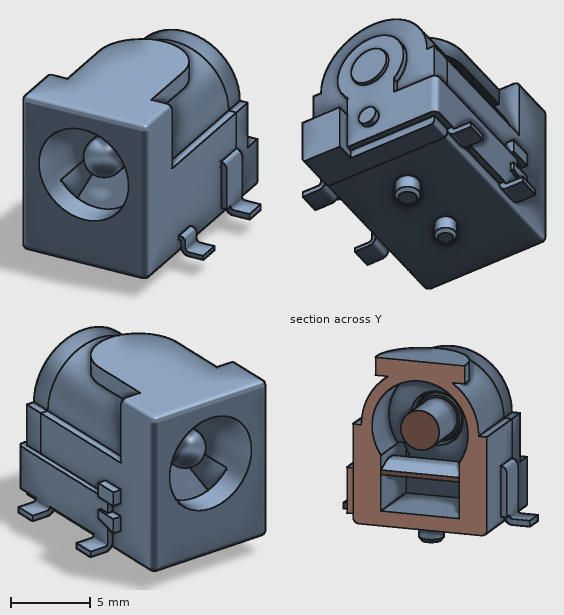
import cadquery as cq
import math

HALF_WIDTH = 4.5
HEIGHT = 11.0
EDGE_RADIUS = 0.4
BLOCK_LENGTH = 3.4
HOUSING_LENGTH = 11.9
AXIS_Z = 6.5
BARREL_RADIUS = 3.95

ARCH_RADIUS = 3.0
ARCH_TIP_Y = 10.65
ARCH_BOTTOM_Z = 9.8

BORE_RADIUS = 3.2
BORE_DEPTH = 10.4
PIN_OPENING_RADIUS = 1.75
CHAMBER_HALF_WIDTH = 2.6
CHAMBER_FRONT_Y = 1.8
CHAMBER_FLOOR_Z = 1.0
CHAMBER_TOP_Z = 4.7
TONGUE_TOP_HALF_WIDTH = 2.2
TONGUE_BOTTOM_HALF_WIDTH = 1.55
TONGUE_BOTTOM_Z = 3.3

PEGS = [(4.95, 0.7), (9.43, 0.8)]
PEG_LENGTH = 1.2
PEG_CHAMFER_HEIGHT = 0.25
PEG_CHAMFER_WIDTH = 0.2

CAP_THICKNESS = 1.5
CAP_BACK_Y = HOUSING_LENGTH + CAP_THICKNESS
CAP_BOTTOM_RADIUS = 0.3
TAB_END_Y = 14.7
TAB_TOP_Z = 3.3
RIVET_RADIUS = 0.63
RIVET_Z = 2.2
RIVET_END_Y = 14.2

FOOT_REACH = 6.25
FOOT_WIDTH = 1.5
FRONT_FOOT_Y = 4.25
REAR_FOOT_Y = 10.4
SHEET = 0.4
SHEET_BEND = 0.2
HOOK_BEND = 0.1

LEG_SPLIT_Z = 0.63
STRIP_TOP_Z = 3.63
STRIP_OUTER_X = HALF_WIDTH + SHEET
PLATE_BACK_Y = CAP_BACK_Y + SHEET
RING_RADIUS = 2.45
NECK_HALF_WIDTH = 1.72
NECK_FILLET = 0.1

NUB_OUTER_X = 5.1
NUB_FRONT_Y = BLOCK_LENGTH
NUB_BACK_Y = 5.0
UPPER_NUB_TOP_Z = 4.6
LOWER_NUB_TOP_Z = 2.71
LOWER_NUB_FRONT_Z = 1.7
LOWER_NUB_BACK_Z = 2.13

SWITCH_TOP_Z = 3.96
SWITCH_FRONT_Y = 9.87
SWITCH_DEPTH = 1.0

SPRING_SHEET = 0.3
SPRING_BEND = 0.25
SPRING_LEG_X = 4.97
SPRING_BASE_FRONT_Y = 2.0
SPRING_RAMP_ANGLE = 22.0
SPRING_TOP_Z = 4.1
SPRING_RAMP_END_Y = 8.4
SPRING_TIP_LENGTH = 1.0
SPRING_TIP_BEND = 1.1

PIN_RADIUS = 1.3
PIN_TIP_Y = 1.4
COLLAR_RADIUS = 1.57
COLLAR_FRONT_Y = 10.6
COLLAR_CHAMFER = 0.12
HEAD_RADIUS = 1.34
HEAD_END_Y = 14.0
HEAD_CHAMFER_LENGTH = 0.1
HEAD_CHAMFER_DEPTH = 0.03


def box(x_range, y_range, z_range):
    """Box given by its (low, high) limits along each axis."""
    sizes = [high - low for low, high in (x_range, y_range, z_range)]
    corner = (x_range[0], y_range[0], z_range[0])
    return cq.Workplane("XY").box(*sizes, centered=False).translate(corner)


def cylinder_y(radius, y_start, y_end, z=AXIS_Z):
    """Cylinder along Y at X = 0."""
    return cq.Workplane("XZ", origin=(0, y_end, z)).circle(radius).extrude(y_end - y_start)


def barrel(y_start, y_end):
    """Half-round barrel standing on a full-width rectangular base."""
    base = box((-HALF_WIDTH, HALF_WIDTH), (y_start, y_end), (0, AXIS_Z))
    return base.union(cylinder_y(BARREL_RADIUS, y_start, y_end))


def foot_leg(outer_x, sheet, bend, top_z, y_front):
    """Vertical leg on the +X side that turns outwards into a solder foot at Z = 0."""
    centre_x = outer_x + bend
    centre_z = sheet + bend
    diagonal = math.sqrt(0.5)
    outer_bend = bend + sheet
    return (
        cq.Workplane("XZ", origin=(0, y_front + FOOT_WIDTH, 0))
        .moveTo(outer_x - sheet, top_z)
        .lineTo(outer_x - sheet, centre_z)
        .threePointArc((centre_x - outer_bend * diagonal, centre_z - outer_bend * diagonal), (centre_x, 0))
        .lineTo(FOOT_REACH, 0)
        .lineTo(FOOT_REACH, sheet)
        .lineTo(centre_x, sheet)
        .threePointArc((centre_x - bend * diagonal, centre_z - bend * diagonal), (outer_x, centre_z))
        .lineTo(outer_x, top_z)
        .close()
        .extrude(FOOT_WIDTH)
    )


def hook(inner_x, outer_x, sheet, top_z, bottom_z, y_front, y_back):
    """Sheet that leaves the housing towards +X and bends down."""
    outer_bend = HOOK_BEND + sheet
    centre_x = outer_x - outer_bend
    centre_z = top_z - outer_bend
    diagonal = math.sqrt(0.5)
    return (
        cq.Workplane("XZ", origin=(0, y_back, 0))
        .moveTo(inner_x, top_z)
        .lineTo(centre_x, top_z)
        .threePointArc(
            (centre_x + outer_bend * diagonal, centre_z + outer_bend * diagonal), (outer_x, centre_z)
        )
        .lineTo(outer_x, bottom_z)
        .lineTo(outer_x - sheet, bottom_z)
        .lineTo(outer_x - sheet, centre_z)
        .threePointArc(
            (centre_x + HOOK_BEND * diagonal, centre_z + HOOK_BEND * diagonal), (centre_x, top_z - sheet)
        )
        .lineTo(inner_x, top_z - sheet)
        .close()
        .extrude(y_back - y_front)
    )


def make_nubs():
    """Two nubs on the -X side: one above the strip, one through its front end."""
    upper = box((-NUB_OUTER_X, -HALF_WIDTH), (NUB_FRONT_Y, NUB_BACK_Y), (STRIP_TOP_Z, UPPER_NUB_TOP_Z))
    lower = (
        cq.Workplane("YZ", origin=(-NUB_OUTER_X, 0, 0))
        .polyline([
            (NUB_FRONT_Y, LOWER_NUB_FRONT_Z),
            (NUB_BACK_Y, LOWER_NUB_BACK_Z),
            (NUB_BACK_Y, LOWER_NUB_TOP_Z),
            (NUB_FRONT_Y, LOWER_NUB_TOP_Z),
        ])
        .close()
        .extrude(NUB_OUTER_X - HALF_WIDTH)
    )
    return upper, lower


def make_outer_shape():
    """Rounded front block, barrel and arched plate."""
    rounded = box((-HALF_WIDTH, HALF_WIDTH), (0, HOUSING_LENGTH), (0, HEIGHT))
    rounded = rounded.edges("|Y or <Y").fillet(EDGE_RADIUS)
    block = box((-HALF_WIDTH, HALF_WIDTH), (0, BLOCK_LENGTH), (0, HEIGHT))
    arch_centre_y = ARCH_TIP_Y - ARCH_RADIUS
    arch = (
        cq.Workplane("XY", origin=(0, 0, ARCH_BOTTOM_Z))
        .moveTo(-ARCH_RADIUS, BLOCK_LENGTH)
        .lineTo(ARCH_RADIUS, BLOCK_LENGTH)
        .lineTo(ARCH_RADIUS, arch_centre_y)
        .threePointArc((0, ARCH_TIP_Y), (-ARCH_RADIUS, arch_centre_y))
        .close()
        .extrude(HEIGHT - ARCH_BOTTOM_Z)
    )
    rear = barrel(BLOCK_LENGTH, HOUSING_LENGTH).union(arch)
    return rounded.intersect(block.union(rear))


def make_peg(y, radius):
    """Chamfered locating peg below the housing."""
    peg = cq.Workplane("XY", origin=(0, y, 0)).circle(radius).extrude(-PEG_LENGTH)
    return peg.faces("<Z").chamfer(PEG_CHAMFER_HEIGHT, PEG_CHAMFER_WIDTH)


def make_housing():
    body = make_outer_shape()
    body = body.cut(cylinder_y(BORE_RADIUS, 0, BORE_DEPTH))
    chamber = box(
        (-CHAMBER_HALF_WIDTH, CHAMBER_HALF_WIDTH),
        (CHAMBER_FRONT_Y, HOUSING_LENGTH),
        (CHAMBER_FLOOR_Z, CHAMBER_TOP_Z),
    )
    tongue = (
        cq.Workplane("XZ", origin=(0, HOUSING_LENGTH, 0))
        .polyline([
            (-TONGUE_TOP_HALF_WIDTH, CHAMBER_TOP_Z),
            (-TONGUE_BOTTOM_HALF_WIDTH, TONGUE_BOTTOM_Z),
            (TONGUE_BOTTOM_HALF_WIDTH, TONGUE_BOTTOM_Z),
            (TONGUE_TOP_HALF_WIDTH, CHAMBER_TOP_Z),
        ])
        .close()
        .extrude(HOUSING_LENGTH - BORE_DEPTH)
    )
    body = body.cut(chamber).union(tongue)
    body = body.cut(cylinder_y(PIN_OPENING_RADIUS, BORE_DEPTH, HOUSING_LENGTH))
    for nub in make_nubs():
        body = body.union(nub)
    for y, radius in PEGS:
        body = body.union(make_peg(y, radius))
    return body


def make_cap():
    """Rear cap with its corner tab and the rivet stud for the ground terminal."""
    body = barrel(HOUSING_LENGTH, CAP_BACK_Y)
    body = body.edges("|Y and <Z").fillet(CAP_BOTTOM_RADIUS)
    tab = box((NECK_HALF_WIDTH, HALF_WIDTH), (CAP_BACK_Y, TAB_END_Y), (0, TAB_TOP_Z))
    tab = tab.edges("|Y and <Z and >X").fillet(CAP_BOTTOM_RADIUS)
    rivet = cylinder_y(RIVET_RADIUS, CAP_BACK_Y, RIVET_END_Y, RIVET_Z)
    return body.union(tab).union(rivet)


def make_ground_terminal():
    """Side strip with two feet, bent round the cap into a plate and a ring under the pin head."""
    strip_z = (LEG_SPLIT_Z, STRIP_TOP_Z)
    strip = box((-STRIP_OUTER_X, -HALF_WIDTH), (FRONT_FOOT_Y, PLATE_BACK_Y), strip_z)
    plate = box((-STRIP_OUTER_X, NECK_HALF_WIDTH), (CAP_BACK_Y, PLATE_BACK_Y), strip_z)
    neck = box((-NECK_HALF_WIDTH, NECK_HALF_WIDTH), (CAP_BACK_Y, PLATE_BACK_Y), (LEG_SPLIT_Z, AXIS_Z))
    neck_corner = cq.selectors.NearestToPointSelector(
        (-NECK_HALF_WIDTH, (CAP_BACK_Y + PLATE_BACK_Y) / 2, STRIP_TOP_Z)
    )
    bend_corner = cq.selectors.NearestToPointSelector(
        (-STRIP_OUTER_X, PLATE_BACK_Y, (LEG_SPLIT_Z + STRIP_TOP_Z) / 2)
    )
    terminal = strip.union(plate).edges(bend_corner).fillet(SHEET)
    terminal = terminal.union(neck).edges(neck_corner).fillet(NECK_FILLET)
    terminal = terminal.union(cylinder_y(RING_RADIUS, CAP_BACK_Y, PLATE_BACK_Y))
    for y_front in (FRONT_FOOT_Y, REAR_FOOT_Y):
        leg = foot_leg(STRIP_OUTER_X, SHEET, SHEET_BEND, LEG_SPLIT_Z, y_front)
        terminal = terminal.union(leg.mirror("YZ"))
    for nub in make_nubs():
        terminal = terminal.cut(nub)
    return terminal.cut(cylinder_y(RIVET_RADIUS, CAP_BACK_Y, RIVET_END_Y, RIVET_Z))


def make_switch_terminal():
    """Wide leg on the +X side with the rear foot."""
    outer_x = HALF_WIDTH + SHEET
    leg = hook(
        HALF_WIDTH - SWITCH_DEPTH, outer_x, SHEET, SWITCH_TOP_Z, LEG_SPLIT_Z,
        SWITCH_FRONT_Y, HOUSING_LENGTH,
    )
    return leg.union(foot_leg(outer_x, SHEET, SHEET_BEND, LEG_SPLIT_Z, REAR_FOOT_Y))


def make_spring_contact():
    """Folded spring: base on the chamber floor, ramp rising into the bore, and the front +X foot."""
    base_top_z = CHAMBER_FLOOR_Z + SPRING_SHEET
    base_back_y = FRONT_FOOT_Y + FOOT_WIDTH
    angle = math.radians(SPRING_RAMP_ANGLE)
    run_per_rise = 1 / math.tan(angle)
    ramp_start_y = SPRING_RAMP_END_Y - (SPRING_TOP_Z - base_top_z) * run_per_rise
    tip_y = SPRING_RAMP_END_Y + SPRING_TIP_LENGTH
    tip_bottom_z = SPRING_TOP_Z - SPRING_SHEET
    inner_corner_y = SPRING_RAMP_END_Y + SPRING_SHEET * math.tan(angle / 2)
    fold_y = inner_corner_y - (tip_bottom_z - base_top_z) * run_per_rise
    blade = (
        cq.Workplane("YZ", origin=(-CHAMBER_HALF_WIDTH, 0, 0))
        .polyline([
            (SPRING_BASE_FRONT_Y, CHAMBER_FLOOR_Z),
            (base_back_y, CHAMBER_FLOOR_Z),
            (base_back_y, base_top_z),
            (fold_y, base_top_z),
            (inner_corner_y, tip_bottom_z),
            (tip_y, tip_bottom_z),
            (tip_y, SPRING_TOP_Z),
            (SPRING_RAMP_END_Y, SPRING_TOP_Z),
            (ramp_start_y, base_top_z),
            (SPRING_BASE_FRONT_Y, base_top_z),
        ])
        .close()
        .extrude(2 * CHAMBER_HALF_WIDTH)
    )
    outer_corner = cq.selectors.NearestToPointSelector((0, SPRING_RAMP_END_Y, SPRING_TOP_Z))
    inner_corner = cq.selectors.NearestToPointSelector((0, inner_corner_y, tip_bottom_z))
    blade = blade.edges(outer_corner).fillet(SPRING_TIP_BEND + SPRING_SHEET)
    blade = blade.edges(inner_corner).fillet(SPRING_TIP_BEND)
    leg = hook(
        CHAMBER_HALF_WIDTH, SPRING_LEG_X, SPRING_SHEET, base_top_z, LEG_SPLIT_Z, FRONT_FOOT_Y, base_back_y
    )
    foot = foot_leg(SPRING_LEG_X, SPRING_SHEET, SPRING_BEND, LEG_SPLIT_Z, FRONT_FOOT_Y)
    return blade.union(leg).union(foot)


def make_pin():
    """Round-nosed contact pin with a chamfered collar and a slightly tapered rear head."""
    nose_end_y = PIN_TIP_Y + PIN_RADIUS
    diagonal = math.sqrt(0.5)
    return (
        cq.Workplane("XY", origin=(0, 0, AXIS_Z))
        .moveTo(0, PIN_TIP_Y)
        .threePointArc((PIN_RADIUS * diagonal, nose_end_y - PIN_RADIUS * diagonal), (PIN_RADIUS, nose_end_y))
        .lineTo(PIN_RADIUS, COLLAR_FRONT_Y)
        .lineTo(COLLAR_RADIUS - COLLAR_CHAMFER, COLLAR_FRONT_Y)
        .lineTo(COLLAR_RADIUS, COLLAR_FRONT_Y + COLLAR_CHAMFER)
        .lineTo(COLLAR_RADIUS, CAP_BACK_Y)
        .lineTo(HEAD_RADIUS, CAP_BACK_Y)
        .lineTo(HEAD_RADIUS, HEAD_END_Y - HEAD_CHAMFER_LENGTH)
        .lineTo(HEAD_RADIUS - HEAD_CHAMFER_DEPTH, HEAD_END_Y)
        .lineTo(0, HEAD_END_Y)
        .close()
        .revolve(360, (0, 0, 0), (0, 1, 0))
    )


pin = make_pin()
switch_terminal = make_switch_terminal()
spring_contact = make_spring_contact()

housing = make_housing().cut(switch_terminal).cut(spring_contact)
cap = make_cap().cut(pin)
ground_terminal = make_ground_terminal().cut(pin)

result = cq.Compound.makeCompound([
    housing.val(),
    cap.val(),
    pin.val(),
    ground_terminal.val(),
    switch_terminal.val(),
    spring_contact.val(),
])